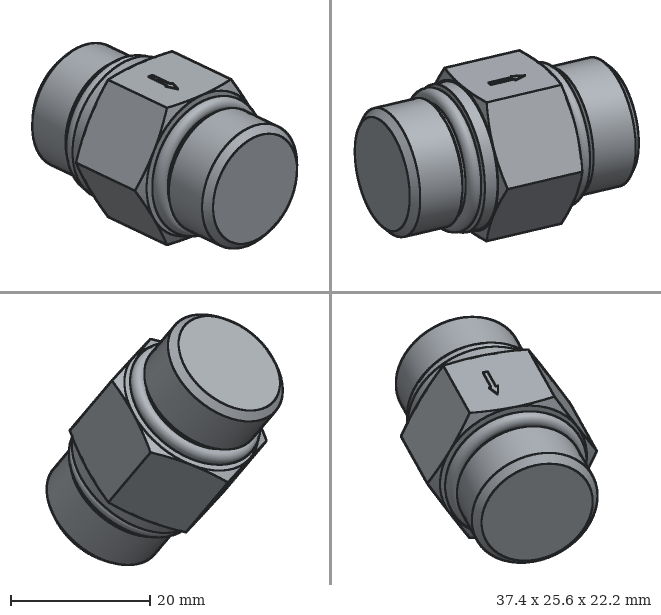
import cadquery as cq
import math


total_length = 37.35
hex_across_flats = 22.2
hex_across_corners = hex_across_flats / math.cos(math.radians(30))
hex_left = -5.7
hex_right = 7.73
hex_bevel_angle = 20.0

thread_diameter = 19.05
neck_diameter = 16.8
thread_length = 8.63
end_chamfer = (thread_diameter - neck_diameter) / 2
shoulder_angle = 60.0
shoulder_length = end_chamfer / math.tan(math.radians(shoulder_angle))

collar_diameter = 21.85
collar_width = 2.05
collar_left = hex_left - collar_width

ring_section = 2.25
ring_section_radius = ring_section / 2
ring_center_radius = neck_diameter / 2 + ring_section_radius

arrow_tail = -1.75
arrow_shoulder = 2.05
arrow_tip = 3.95
arrow_center_y = -1.15
arrow_shaft_width = 0.7
arrow_head_width = 1.42
arrow_depth = 0.07


def x_cylinder(diameter, x_start, x_end):
    """Cylinder on the X axis between two X positions."""
    return cq.Workplane("YZ", origin=(x_start, 0, 0)).circle(diameter / 2).extrude(x_end - x_start)


def make_threaded_end():
    """Left threaded end: chamfered outside, with a steeper inner shoulder down to the neck."""
    outer_radius = thread_diameter / 2
    neck_radius = neck_diameter / 2
    end = -total_length / 2
    inner = end + thread_length
    profile = [
        (end, 0),
        (end, neck_radius),
        (end + end_chamfer, outer_radius),
        (inner - shoulder_length, outer_radius),
        (inner, neck_radius),
        (inner, 0),
    ]
    return cq.Workplane("XY").polyline(profile).close().revolve(360, (0, 0, 0), (1, 0, 0))


def make_hexagon():
    """Hexagon with flats on top and bottom, its corners bevelled by a cone at both ends."""
    hexagon = (
        cq.Workplane("YZ", origin=(hex_left, 0, 0))
        .polygon(6, hex_across_corners)
        .extrude(hex_right - hex_left)
    )
    flat_radius = hex_across_flats / 2
    corner_radius = hex_across_corners / 2
    bevel_length = (corner_radius - flat_radius) * math.tan(math.radians(hex_bevel_angle))
    envelope_profile = [
        (hex_left, 0),
        (hex_left, flat_radius),
        (hex_left + bevel_length, corner_radius),
        (hex_right - bevel_length, corner_radius),
        (hex_right, flat_radius),
        (hex_right, 0),
    ]
    envelope = cq.Workplane("XY").polyline(envelope_profile).close().revolve(360, (0, 0, 0), (1, 0, 0))
    return hexagon.intersect(envelope)


def make_flow_arrow():
    """Arrow pointing to +X, reaching from the top flat down to the engraving depth."""
    half_shaft = arrow_shaft_width / 2
    half_head = arrow_head_width / 2
    outline = [
        (arrow_tail, -half_shaft),
        (arrow_shoulder, -half_shaft),
        (arrow_shoulder, -half_head),
        (arrow_tip, 0),
        (arrow_shoulder, half_head),
        (arrow_shoulder, half_shaft),
        (arrow_tail, half_shaft),
    ]
    top_flat = (0, arrow_center_y, hex_across_flats / 2)
    return cq.Workplane("XY", origin=top_flat).polyline(outline).close().extrude(-arrow_depth)


def make_plug_body():
    """Hexagon, collar, necks and both threaded ends as one solid."""
    left_end = make_threaded_end()
    right_end = left_end.mirror("YZ")
    neck_half_length = total_length / 2 - thread_length
    core = x_cylinder(neck_diameter, -neck_half_length, neck_half_length)
    collar = x_cylinder(collar_diameter, collar_left, hex_left)
    body = make_hexagon().union(collar).union(core).union(left_end).union(right_end)
    return body.cut(make_flow_arrow())


def make_o_ring(x_center):
    """O-ring around the X axis, centred at the given X."""
    return (
        cq.Workplane("XY")
        .center(x_center, ring_center_radius)
        .circle(ring_section_radius)
        .revolve(360, (0, -ring_center_radius, 0), (1, -ring_center_radius, 0))
    )


plug_body = make_plug_body()

ring_positions = [collar_left - ring_section_radius, hex_right + ring_section_radius]
o_rings = [make_o_ring(x_center) for x_center in ring_positions]

result = cq.Compound.makeCompound([plug_body.val(), *[ring.val() for ring in o_rings]])